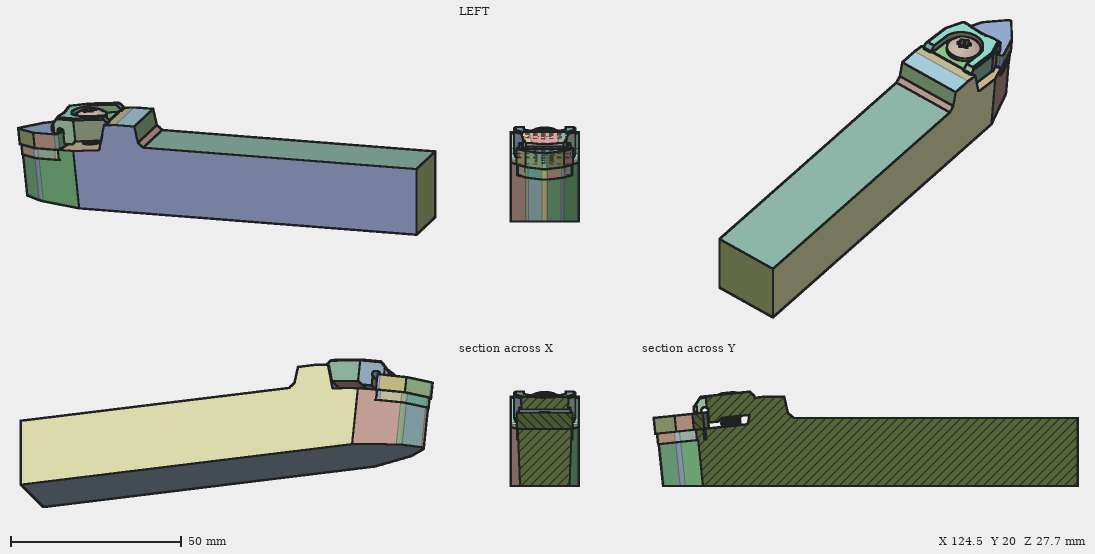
import cadquery as cq
import math

LENGTH = 124.5
SHANK_WIDTH = 20.0
HALF_WIDTH = SHANK_WIDTH / 2
SHANK_HEIGHT = SHANK_WIDTH
TILT = 6.0

NOSE_HALF_ANGLE = 40.0
SIDE_ANGLE = 20.0
INSCRIBED_RADIUS = 6.4
INSERT_THICKNESS = 4.7
INSERT_NOSE_RADIUS = 0.8

SHIM_THICKNESS = 3.1
SHIM_INSET = 0.2
NOSE_INSET = 0.31
SUPPORT_NOSE_RADIUS = 1.1
SUPPORT_CORNER_RADIUS = 5.0
RELIEF_RADIUS = 1.5

BLOCK_TOP = 26.3
BLOCK_FLAT_START = 32.5
BLOCK_FLAT_END = 38.4
BLOCK_FOOT = (39.5, 21.4)
BLOCK_BLEND_END = 41.1
BLOCK_FRONT_TOP = 2.7
WALL_BOTTOM_U = 27.3
WALL_TOP_U = 29.5
WALL_CORNER_RADIUS = 0.6

CLAMP_HALF_WIDTH = 9.0
CLAMP_TOP = 4.7
CLAMP_BOTTOM = -2.1
CLAMP_TIP = (12.0, 1.7)
CLAMP_BROW_U = 14.5
CLAMP_BEND_U = 19.9
CLAMP_TAIL_U = 30.1
CLAMP_TAIL_TOP_U = 28.9
CLAMP_TAIL_EDGE = 3.2
CLAMP_EDGE_BEVEL = 0.5
LIP_SHOULDER = 0.7
LIP_TOE_U = 12.6
LIP_HEEL_U = 13.8
CHEEK_CUT = 1.0
CHEEK_HALF_WIDTH = 5.5
NOTCH_RADIUS = 1.06
NOTCH_CENTRE = (15.2, 0.44)
LEG_FRONT_U = 16.1
LEG_BACK_U = 18.8
LEG_BOTTOM = -3.1
HOLLOW_RADIUS = 29.9
HOLLOW_DEPTH_TOP = 0.5
HOLLOW_DEPTH_TIP = 0.31

SCREW_U = 22.4
SLOT_CENTRE_U = 23.2
SLOT_HALF_WIDTH = 6.1
SLOT_FLOOR = 2.5
HEAD_DIAMETER = 10.0
HEAD_RIM = 3.5
HEAD_APEX = 5.2
SCREW_DIAMETER = 5.9
THREAD_PITCH = 1.0
THREAD_DEPTH = 0.5
THREAD_TURNS = 3
SOCKET_DIAMETER = 3.0
SOCKET_LOBES = 6
LOBE_RADIUS = 0.5
SOCKET_DEPTH = 2.5

OVERRUN = 62.3

COS_TILT = math.cos(math.radians(TILT))
SIN_TILT = math.sin(math.radians(TILT))
INSERT_BOTTOM = -INSERT_THICKNESS
SHIM_BOTTOM = INSERT_BOTTOM - SHIM_THICKNESS


def head_plan(w):
    return cq.Plane((-w * SIN_TILT, 0, SHANK_HEIGHT + w * COS_TILT), (COS_TILT, 0, SIN_TILT),
                    (-SIN_TILT, 0, COS_TILT))


HEAD_SIDE = cq.Plane((0, 0, SHANK_HEIGHT), (COS_TILT, 0, SIN_TILT), (0, -1, 0))


def head_to_xz(u, w):
    return (u * COS_TILT - w * SIN_TILT, SHANK_HEIGHT + u * SIN_TILT + w * COS_TILT)


def sharp_distance(radius):
    """Distance from the insert centre to a nose before it is rounded."""
    return radius / math.sin(math.radians(NOSE_HALF_ANGLE))


def blunt_distance(radius):
    """Distance from the insert centre to a blunt corner."""
    return radius / math.cos(math.radians((NOSE_HALF_ANGLE - SIDE_ANGLE) / 2))


def polar(distance, angle):
    return (INSERT_CENTRE_U + distance * math.cos(math.radians(angle)),
            distance * math.sin(math.radians(angle)))


NOSE_CUTBACK = sharp_distance(INSERT_NOSE_RADIUS) - INSERT_NOSE_RADIUS
INSERT_CENTRE_U = sharp_distance(INSCRIBED_RADIUS) - NOSE_CUTBACK
NOSE_ANGLES = (180, 300, 60)


def round_upright_edges(body, w, points, radius):
    """Fillet the upright edges of a head prism that pass nearest the (u, v) points at level w."""
    for u, v in points:
        x, z = head_to_xz(u, w)
        edge = body.edges(cq.selectors.ParallelDirSelector(head_plan(0).zDir))
        edge = edge.edges(cq.selectors.NearestToPointSelector((x, v, z)))
        body = edge.fillet(radius)
    return body


def trigon(radius, nose_radius, bottom, height):
    middle = bottom + height / 2
    outline = []
    for angle in NOSE_ANGLES:
        outline.append(polar(sharp_distance(radius), angle))
        outline.append(polar(blunt_distance(radius), angle + 60))
    prism = cq.Workplane(head_plan(bottom)).polyline(outline).close().extrude(height)
    return round_upright_edges(prism, middle, outline[::2], nose_radius)


def make_insert():
    return trigon(INSCRIBED_RADIUS, INSERT_NOSE_RADIUS, INSERT_BOTTOM, INSERT_THICKNESS)


def shank_and_block():
    """Side profile extruded over the full width; the head still square in plan."""
    profile = [
        (-OVERRUN, 0),
        (LENGTH, 0),
        (LENGTH, SHANK_HEIGHT),
        (BLOCK_BLEND_END, SHANK_HEIGHT),
        BLOCK_FOOT,
        (BLOCK_FLAT_END, BLOCK_TOP),
        (BLOCK_FLAT_START, BLOCK_TOP),
        head_to_xz(WALL_TOP_U, BLOCK_FRONT_TOP),
        head_to_xz(WALL_BOTTOM_U, INSERT_BOTTOM),
        head_to_xz(-OVERRUN, INSERT_BOTTOM),
    ]
    body = cq.Workplane("XZ").polyline(profile).close().extrude(HALF_WIDTH, both=True)
    x, z = head_to_xz(WALL_BOTTOM_U, INSERT_BOTTOM)
    corner = body.edges("|Y").edges(cq.selectors.NearestToPointSelector((x, 0, z)))
    return corner.fillet(WALL_CORNER_RADIUS)


def holder_plan():
    """Tapered plan outline of the holder as a tall inclined prism."""
    radius = INSCRIBED_RADIUS - NOSE_INSET
    tip = polar(sharp_distance(radius), 180)
    corner = polar(blunt_distance(radius), 120)
    shoulder_u = corner[0] + (HALF_WIDTH - corner[1]) / math.tan(math.radians(SIDE_ANGLE))
    upper = [corner, (shoulder_u, HALF_WIDTH), (LENGTH + OVERRUN, HALF_WIDTH)]
    lower = [(u, -v) for u, v in reversed(upper)]
    outline = [tip] + upper + lower
    prism = cq.Workplane(head_plan(-OVERRUN)).polyline(outline).close().extrude(2 * OVERRUN)
    prism = round_upright_edges(prism, 0, [tip], SUPPORT_NOSE_RADIUS)
    blunt_corners = [corner, lower[-1]]
    return round_upright_edges(prism, 0, blunt_corners, SUPPORT_CORNER_RADIUS)


def shim():
    radius = INSCRIBED_RADIUS - SHIM_INSET
    body = trigon(radius, SUPPORT_NOSE_RADIUS, SHIM_BOTTOM, SHIM_THICKNESS)
    corners = [polar(blunt_distance(radius), angle) for angle in (120, 240)]
    return round_upright_edges(body, SHIM_BOTTOM + SHIM_THICKNESS / 2, corners, SUPPORT_CORNER_RADIUS)


def shim_relief():
    """Round clearances in the holder around the two rear noses of the shim."""
    radius = INSCRIBED_RADIUS - SHIM_INSET
    centre_distance = sharp_distance(radius) - sharp_distance(SUPPORT_NOSE_RADIUS)
    centres = [polar(centre_distance, angle) for angle in NOSE_ANGLES[1:]]
    return (cq.Workplane(head_plan(SHIM_BOTTOM)).pushPoints(centres).circle(RELIEF_RADIUS)
            .extrude(SHIM_THICKNESS))


def clamp_side():
    """Side profile of the clamp: lip, notch, leg behind the insert, and tail on the block."""
    wall_slope = (WALL_TOP_U - WALL_BOTTOM_U) / (BLOCK_FRONT_TOP - INSERT_BOTTOM)
    heel_u = WALL_BOTTOM_U + wall_slope * (CLAMP_BOTTOM - INSERT_BOTTOM)
    profile = cq.Workplane(HEAD_SIDE).polyline([
        CLAMP_TIP,
        (CLAMP_BROW_U, CLAMP_TOP),
        (CLAMP_TAIL_TOP_U, CLAMP_TOP),
        (CLAMP_TAIL_U, CLAMP_TAIL_EDGE),
        (CLAMP_TAIL_U, BLOCK_FRONT_TOP),
        (WALL_TOP_U, BLOCK_FRONT_TOP),
        (heel_u, CLAMP_BOTTOM),
        (CLAMP_BEND_U, CLAMP_BOTTOM),
        (LEG_BACK_U, LEG_BOTTOM),
        (LEG_FRONT_U, LEG_BOTTOM),
        (LEG_FRONT_U, 0),
        (LIP_HEEL_U, 0),
        (LIP_TOE_U, 0),
        (CLAMP_TIP[0], LIP_SHOULDER),
    ]).close().extrude(HALF_WIDTH, both=True)
    notch = (cq.Workplane(HEAD_SIDE).center(*NOTCH_CENTRE).circle(NOTCH_RADIUS)
             .extrude(HALF_WIDTH, both=True))
    return profile.cut(notch)


def clamp_plan():
    """Plan outline of the clamp as a prism with a bevelled upper edge."""
    tip_u = CLAMP_TIP[0]
    cheek_u = tip_u + CHEEK_CUT
    cheek_v = CLAMP_HALF_WIDTH - (CLAMP_BEND_U - cheek_u) * math.tan(math.radians(SIDE_ANGLE))
    upper = [
        (tip_u, CHEEK_HALF_WIDTH),
        (cheek_u, cheek_v),
        (CLAMP_BEND_U, CLAMP_HALF_WIDTH),
        (CLAMP_TAIL_U, CLAMP_HALF_WIDTH),
    ]
    lower = [(u, -v) for u, v in reversed(upper)]
    prism = (cq.Workplane(head_plan(LEG_BOTTOM)).polyline(upper + lower).close()
             .extrude(CLAMP_TOP - LEG_BOTTOM))
    top_face = prism.faces(cq.selectors.DirectionMinMaxSelector(head_plan(0).zDir, True))
    return top_face.edges().chamfer(CLAMP_EDGE_BEVEL)


def front_hollow():
    """Cylinder that hollows the sloping front face, deeper at the top than at the tip."""
    tip_u, tip_w = CLAMP_TIP
    lower = HEAD_SIDE.toWorldCoords((tip_u + HOLLOW_DEPTH_TIP, tip_w))
    upper = HEAD_SIDE.toWorldCoords((CLAMP_BROW_U + HOLLOW_DEPTH_TOP, CLAMP_TOP))
    plane = cq.Plane(lower, (0, 1, 0), upper - lower)
    length = (upper - lower).Length
    return (cq.Workplane(plane).center(0, HOLLOW_RADIUS).circle(HOLLOW_RADIUS)
            .extrude(2 * length, both=True))


def head_slot():
    """Slot for the screw head: round at the front, open at the tail."""
    floor = cq.Workplane(head_plan(SLOT_FLOOR)).center(SLOT_CENTRE_U, 0)
    round_end = floor.circle(SLOT_HALF_WIDTH).extrude(CLAMP_TOP)
    open_end = (floor.center(0, -SLOT_HALF_WIDTH)
                .rect(CLAMP_TAIL_U - SLOT_CENTRE_U, 2 * SLOT_HALF_WIDTH, centered=False)
                .extrude(CLAMP_TOP))
    return round_end.union(open_end)


def clamp():
    body = clamp_side().intersect(clamp_plan())
    return body.cut(head_slot()).cut(front_hollow())


def cut_thread(shaft):
    """Cut V-shaped rings, standing in for the thread, in the gap between holder and clamp."""
    crest_u = SCREW_U + SCREW_DIAMETER / 2
    for turn in range(THREAD_TURNS):
        start = INSERT_BOTTOM + turn * THREAD_PITCH
        groove = cq.Workplane(HEAD_SIDE).polyline([
            (crest_u, start),
            (crest_u - THREAD_DEPTH, start + THREAD_PITCH / 2),
            (crest_u, start + THREAD_PITCH),
        ]).close().revolve(360, (SCREW_U, 0), (SCREW_U, 1))
        shaft = shaft.cut(groove)
    return shaft


def screw():
    radius = HEAD_DIAMETER / 2
    shaft = (cq.Workplane(head_plan(INSERT_BOTTOM)).center(SCREW_U, 0).circle(SCREW_DIAMETER / 2)
             .extrude(SLOT_FLOOR - INSERT_BOTTOM))
    dome_rise = HEAD_APEX - HEAD_RIM
    arc_radius = (radius ** 2 + dome_rise ** 2) / (2 * dome_rise)
    half = radius / 2
    half_w = HEAD_APEX - arc_radius + math.sqrt(arc_radius ** 2 - half ** 2)
    head = (cq.Workplane(HEAD_SIDE).moveTo(SCREW_U, SLOT_FLOOR).lineTo(SCREW_U + radius, SLOT_FLOOR)
            .lineTo(SCREW_U + radius, HEAD_RIM)
            .threePointArc((SCREW_U + half, half_w), (SCREW_U, HEAD_APEX)).close()
            .revolve(360, (SCREW_U, 0), (SCREW_U, 1)))
    return cut_thread(shaft).union(head)


def socket():
    plane = head_plan(HEAD_APEX - SOCKET_DEPTH)
    hole = cq.Workplane(plane).center(SCREW_U, 0).circle(SOCKET_DIAMETER / 2).extrude(SOCKET_DEPTH)
    lobes = (cq.Workplane(plane).center(SCREW_U, 0)
             .polarArray(SOCKET_DIAMETER / 2, 0, 360, SOCKET_LOBES).circle(LOBE_RADIUS)
             .extrude(SOCKET_DEPTH))
    return hole.union(lobes)


def make_holder():
    body = shank_and_block().intersect(holder_plan())
    body = body.cut(shim_relief()).union(shim())
    return body.union(clamp()).union(screw()).cut(socket())


insert = make_insert()
holder = make_holder()
result = cq.Compound.makeCompound([holder.solids().val(), insert.solids().val()])